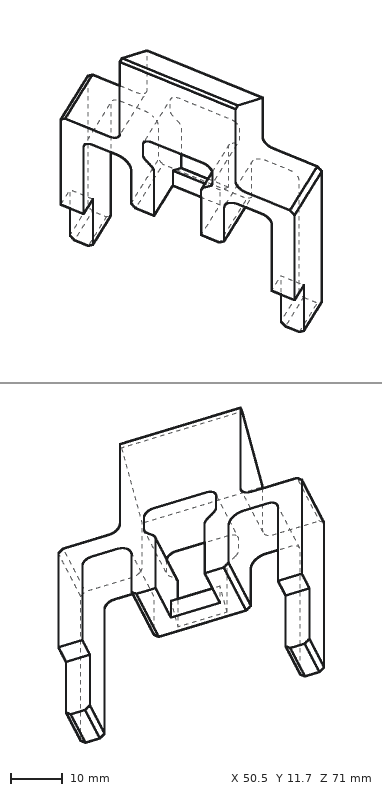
import cadquery as cq

width = 50.5
depth = 11.7
height = 71.0

wall = 5.0
head_width = 25.0
window_width = 15.0
slot_width = 10.15

shoulder_z = 45.0
arch_z = shoulder_z - wall
inner_leg_z = 24.9
window_top_z = 48.85
slot_top_z = 40.3

tip_step_height = 16.05
tip_step_depth = 4.0
bridge_depth = 3.7
head_edge_depth = 1.0

corner_chamfer = 1.0
shoulder_radius = 2.2
window_radius = 2.0
arch_outer_radius = 2.0
arch_inner_radius = 3.1

half_width = width / 2
half_head = head_width / 2
half_window = window_width / 2
half_slot = slot_width / 2
inner_leg_x = half_slot + wall
outer_leg_x = half_width - wall
funnel_z = slot_top_z + half_window - half_slot


def block(size_x, size_y, size_z, center_x, min_y, min_z):
    """Box centred on center_x that starts at min_y and min_z."""
    box = cq.Workplane("XY").box(size_x, size_y, size_z, centered=(True, False, False))
    return box.translate((center_x, min_y, min_z))


def edges_at(body, points):
    """Depth-wise edges of the body at the given (x, z) points and their mirror images."""
    selected = body.newObject([])
    for x, z in points:
        for side in (-1, 1):
            selected = selected.add(body.edges(cq.NearestToPointSelector((side * x, depth / 2, z))))
    return selected


def make_frame():
    """Head, shoulders and four legs as one flat profile of full depth."""
    right_outline = [
        (half_head, height),
        (half_head, shoulder_z),
        (half_width, shoulder_z),
        (half_width, 0),
        (outer_leg_x, 0),
        (outer_leg_x, arch_z),
        (inner_leg_x, arch_z),
        (inner_leg_x, inner_leg_z),
        (half_slot, inner_leg_z),
        (half_slot, slot_top_z),
        (half_window, funnel_z),
        (half_window, window_top_z),
    ]
    left_outline = [(-x, z) for x, z in reversed(right_outline)]
    profile = cq.Workplane("XZ").polyline(right_outline + left_outline).close()
    frame = profile.extrude(-depth)

    fillets = [
        (shoulder_radius, [(half_head, shoulder_z)]),
        (arch_outer_radius, [(outer_leg_x, arch_z)]),
        (arch_inner_radius, [(inner_leg_x, arch_z)]),
        (window_radius, [(half_window, window_top_z)]),
        (window_radius, [(half_window, funnel_z), (half_slot, slot_top_z)]),
    ]
    for radius, points in fillets:
        frame = edges_at(frame, points).fillet(radius)

    chamfered_corners = [
        (half_width, shoulder_z),
        (half_width, 0),
        (outer_leg_x, 0),
        (inner_leg_x, inner_leg_z),
    ]
    return edges_at(frame, chamfered_corners).chamfer(corner_chamfer)


def make_bridge():
    """Bar that joins the inner legs at the back, its top falling 45 degrees toward the back face."""
    front_y = depth - bridge_depth
    top_z = inner_leg_z + wall
    section = cq.Workplane("YZ").polyline(
        [(front_y, inner_leg_z), (depth, inner_leg_z), (depth, top_z - bridge_depth), (front_y, top_z)]
    ).close()
    return section.extrude(half_slot, both=True)


def make_head_bevel():
    """Wedge above the 45 degree slope that thins the head to its front edge."""
    slope = depth - head_edge_depth
    wedge = cq.Workplane("YZ").polyline(
        [(head_edge_depth, height), (depth, height), (depth, height - slope)]
    ).close()
    return wedge.extrude(half_head, both=True)


part = make_frame().union(make_bridge()).cut(make_head_bevel())
for side in (-1, 1):
    leg_center_x = side * (half_width - wall / 2)
    part = part.cut(block(wall, tip_step_depth, tip_step_height, leg_center_x, 0, 0))

result = part